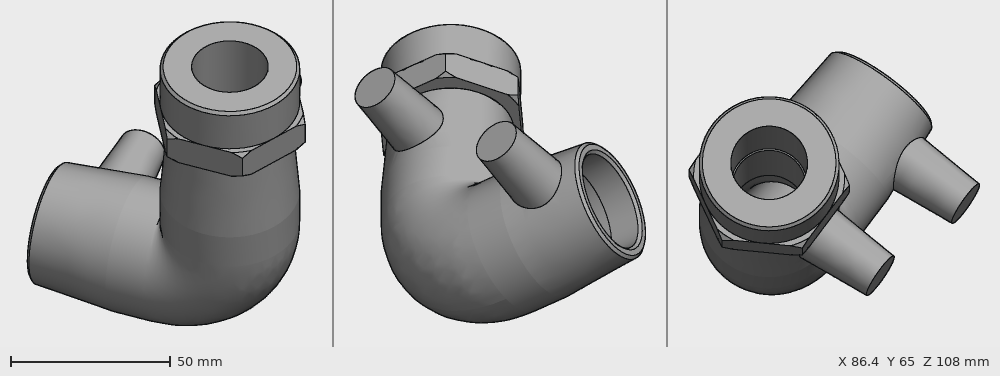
import cadquery as cq
import math

overall_height = 108.0
overall_depth = 65.0
body_dia = 44.0
bend_radius = 21.0
collar_end = 33.4
leg_length = 61.0
cone_end_dia = 39.6
leg_chamfer = 1.0
elbow_bore_dia = 27.2

socket_dia = 32.0
socket_mouth_dia = 33.9
mouth_depth = 1.0
groove_dia = 34.6
groove_start_depth = 11.0
groove_end_depth = 16.3

nut_height = 10.0
nut_chamfer_dia = 47.5
nut_chamfer_height = 1.3
fitting_top = overall_height - body_dia / 2
fitting_chamfer = 1.0
fitting_bore_dia = 24.1
neck_bore_dia = 23.0

stud_offset = 45.9
stud_tip_y = overall_depth - body_dia / 2
stud_tip_dia = 15.1
stud_base_dia = 18.6

body_radius = body_dia / 2
nut_corner_dia = body_dia / math.cos(math.pi / 6)
nut_top = leg_length + nut_height


def revolved_z(points):
    """Revolve an (r, z) outline about the Z axis."""
    return cq.Workplane("XZ").polyline(points).close().revolve(360, (0, 0), (0, 1))


def cylinder_z(diameter, bottom, top):
    return cq.Workplane("XY").workplane(offset=bottom).circle(diameter / 2).extrude(top - bottom)


def to_inlet(shape):
    """Turn a shape on the +Z axis onto the -X axis."""
    return shape.rotate((0, 0, 0), (0, 1, 0), -90)


def bend_start():
    """Workplane across the inner end of the outlet leg, where the quarter turn begins."""
    return cq.Workplane("XY", origin=(0, 0, bend_radius))


def quarter_turn(profile):
    """Revolve a profile about the bend axis, parallel to Y at x = -bend_radius, down to the inlet leg."""
    return profile.revolve(90, (-bend_radius, 0), (-bend_radius, 1))


def body_bend():
    """The body circle reaches past the bend axis, so it is cut off by a chord lying on that axis.

    The arc is split at its outermost point, so each half of the bend is a plain surface of revolution.
    """
    diagonal = body_radius * math.sqrt(0.5)
    half_chord = math.sqrt(body_radius**2 - bend_radius**2)
    profile = (
        bend_start()
        .moveTo(-bend_radius, -half_chord)
        .threePointArc((diagonal, -diagonal), (body_radius, 0))
        .threePointArc((diagonal, diagonal), (-bend_radius, half_chord))
        .close()
    )
    return quarter_turn(profile)


def leg():
    """Straight collar, taper and chamfered end of one leg, along +Z."""
    end_radius = cone_end_dia / 2
    return revolved_z([
        (0, bend_radius),
        (body_radius, bend_radius),
        (body_radius, collar_end),
        (end_radius, leg_length - leg_chamfer),
        (end_radius - leg_chamfer, leg_length),
        (0, leg_length),
    ])


def nut():
    hexagon = cq.Workplane("XY").workplane(offset=leg_length).polygon(6, nut_corner_dia).extrude(nut_height)
    corner_radius = nut_corner_dia / 2
    face_radius = nut_chamfer_dia / 2
    envelope = revolved_z([
        (0, leg_length),
        (face_radius, leg_length),
        (corner_radius, leg_length + nut_chamfer_height),
        (corner_radius, nut_top - nut_chamfer_height),
        (face_radius, nut_top),
        (0, nut_top),
    ])
    return hexagon.intersect(envelope)


def spigot():
    return cylinder_z(body_dia, nut_top, fitting_top).faces(">Z").chamfer(fitting_chamfer)


def stud(x, z):
    """Taper along +Y, rooted inside the wall, with its base diameter at the back of the body."""
    slope = (stud_base_dia - stud_tip_dia) / (stud_tip_y - body_radius)
    root_y = socket_dia / 2
    length = stud_tip_y - root_y
    root_dia = stud_tip_dia + slope * length
    cone = cq.Solid.makeCone(
        root_dia / 2,
        stud_tip_dia / 2,
        length,
        cq.Vector(x, root_y, z),
        cq.Vector(0, 1, 0),
    )
    return cq.Workplane(obj=cone)


def inlet_socket():
    """Counterbore down to the collar, with a chamfered mouth and an internal ring groove."""
    mouth_radius = socket_mouth_dia / 2
    socket_radius = socket_dia / 2
    groove_radius = groove_dia / 2
    return to_inlet(revolved_z([
        (0, collar_end),
        (socket_radius, collar_end),
        (socket_radius, leg_length - groove_end_depth),
        (groove_radius, leg_length - groove_end_depth),
        (groove_radius, leg_length - groove_start_depth),
        (socket_radius, leg_length - groove_start_depth),
        (socket_radius, leg_length - mouth_depth),
        (mouth_radius, leg_length),
        (0, leg_length),
    ]))


body = body_bend().union(leg()).union(to_inlet(leg()))
body = body.union(nut()).union(spigot())
for stud_x, stud_z in [(-stud_offset, 0), (0, stud_offset)]:
    body = body.union(stud(stud_x, stud_z))

bore = quarter_turn(bend_start().circle(elbow_bore_dia / 2))
bore = bore.union(cylinder_z(elbow_bore_dia, bend_radius, collar_end))
bore = bore.union(to_inlet(cylinder_z(elbow_bore_dia, bend_radius, leg_length)))
bore = bore.union(cylinder_z(neck_bore_dia, collar_end, leg_length))
bore = bore.union(cylinder_z(fitting_bore_dia, leg_length, fitting_top))

result = body.cut(bore).cut(inlet_socket())